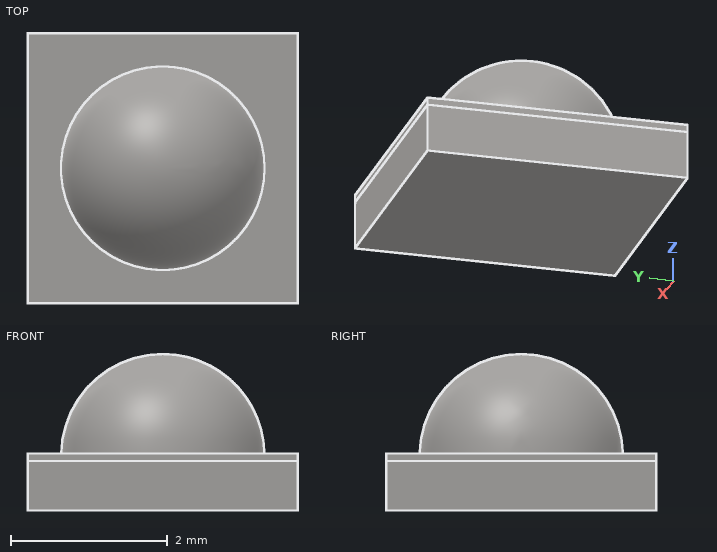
import cadquery as cq

package_side = 3.45
total_height = 2.0
substrate_height = 0.63
film_thickness = 0.1
dome_radius = 1.3

film_top = substrate_height + film_thickness
dome_center_height = total_height - dome_radius


def make_substrate():
    """Square plate that carries the lens."""
    return cq.Workplane("XY").box(
        package_side, package_side, substrate_height, centered=(True, True, False)
    )


def make_lens():
    """Thin square film moulded in one piece with a spherical dome."""
    film = cq.Workplane("XY", origin=(0, 0, substrate_height)).box(
        package_side, package_side, film_thickness, centered=(True, True, False)
    )
    ball = cq.Workplane("XY", origin=(0, 0, dome_center_height)).sphere(dome_radius)
    space_above_film = cq.Workplane("XY", origin=(0, 0, film_top)).box(
        package_side, package_side, total_height, centered=(True, True, False)
    )
    dome = ball.intersect(space_above_film)
    return film.union(dome)


substrate = make_substrate()
lens = make_lens()

result = cq.Compound.makeCompound([substrate.val(), lens.val()])